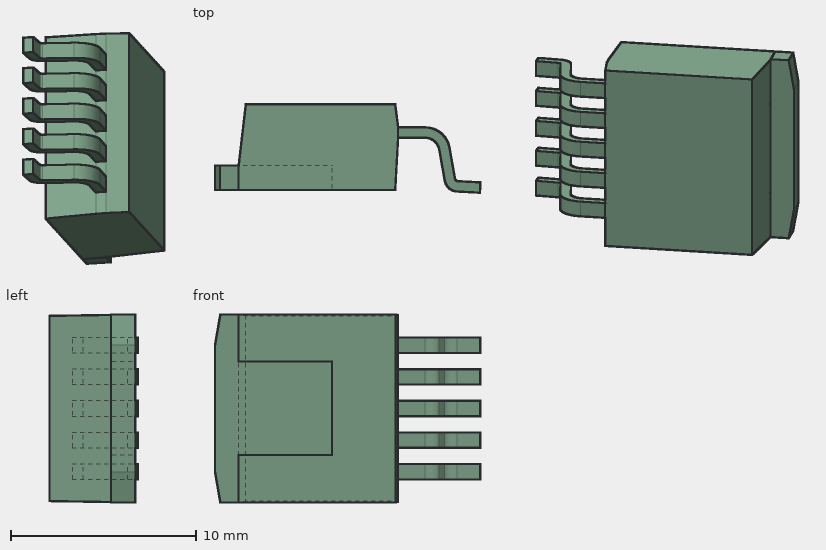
import cadquery as cq
import math

total_length = 14.35
package_width = 10.16

tab_thickness = 1.33
tab_length = 1.28
tab_corner_length = 0.29
tab_front_width = 6.86
tongue_end_x = 6.31
tongue_width = 5.05

housing_height = 4.65
housing_top_start_x = 1.66
housing_base_end_x = 9.75
housing_end_x = 9.9
housing_top_width = 10.02

lead_count = 5
lead_pitch = 1.71
lead_width = 0.85
lead_thickness = 0.57
lead_top_y = 3.4
lead_tip_y = -0.15
leg_angle = math.radians(80)
foot_angle = math.radians(3)
foot_length = 1.23
shoulder_radius = 1.06
ankle_radius = 0.45
lead_underside_y = lead_top_y - lead_thickness


def make_tab():
    """Flat plate with tapered front corners and a narrower tongue behind."""
    half_width = package_width / 2
    half_front = tab_front_width / 2
    half_tongue = tongue_width / 2
    outline = [
        (0, -half_front),
        (tab_corner_length, -half_width),
        (tab_length, -half_width),
        (tab_length, -half_tongue),
        (tongue_end_x, -half_tongue),
        (tongue_end_x, half_tongue),
        (tab_length, half_tongue),
        (tab_length, half_width),
        (tab_corner_length, half_width),
        (0, half_front),
    ]
    return cq.Workplane("XZ").polyline(outline).close().extrude(-tab_thickness)


def make_housing(tab):
    """Drafted block with a recess in its base that fits the tab's tongue."""
    side_profile = [
        (tab_length, 0),
        (housing_base_end_x, 0),
        (housing_end_x, lead_underside_y),
        (housing_end_x, lead_top_y),
        (housing_base_end_x, housing_height),
        (housing_top_start_x, housing_height),
        (tab_length, tab_thickness),
    ]
    end_profile = [
        (0, -package_width / 2),
        (housing_height, -housing_top_width / 2),
        (housing_height, housing_top_width / 2),
        (0, package_width / 2),
    ]
    block = (
        cq.Workplane("XY").polyline(side_profile).close()
        .extrude(package_width / 2, both=True)
    )
    drafted_sides = cq.Workplane("YZ").polyline(end_profile).close().extrude(total_length)
    return block.intersect(drafted_sides).cut(tab)


def bend_point(center, radius, angle):
    """Point on a bend, with the angle measured from +X."""
    return (center[0] + radius * math.cos(angle), center[1] + radius * math.sin(angle))


def make_lead(z):
    """Gull-wing lead of constant section swept along its centreline."""
    half_thickness = lead_thickness / 2
    tip = (
        total_length - half_thickness * math.sin(foot_angle),
        lead_tip_y + half_thickness * math.cos(foot_angle),
    )
    foot_start = (
        tip[0] - foot_length * math.cos(foot_angle),
        tip[1] + foot_length * math.sin(foot_angle),
    )

    ankle_center = (
        foot_start[0] + ankle_radius * math.sin(foot_angle),
        foot_start[1] + ankle_radius * math.cos(foot_angle),
    )
    ankle_start_angle = math.pi * 3 / 2 - leg_angle
    ankle_end_angle = math.pi * 3 / 2 - foot_angle
    leg_end = bend_point(ankle_center, ankle_radius, ankle_start_angle)
    ankle_middle = bend_point(ankle_center, ankle_radius, (ankle_start_angle + ankle_end_angle) / 2)

    shank_y = lead_top_y - half_thickness
    leg_start_angle = math.pi / 2 - leg_angle
    leg_start_y = shank_y - shoulder_radius * (1 - math.cos(leg_angle))
    leg_start_x = leg_end[0] - (leg_start_y - leg_end[1]) / math.tan(leg_angle)
    shoulder_center = (
        leg_start_x - shoulder_radius * math.sin(leg_angle),
        shank_y - shoulder_radius,
    )
    shoulder_middle = bend_point(shoulder_center, shoulder_radius, (math.pi / 2 + leg_start_angle) / 2)

    centreline = (
        cq.Workplane("XY", origin=(0, 0, z))
        .moveTo(housing_end_x, shank_y)
        .lineTo(shoulder_center[0], shank_y)
        .threePointArc(shoulder_middle, (leg_start_x, leg_start_y))
        .lineTo(*leg_end)
        .threePointArc(ankle_middle, foot_start)
        .lineTo(*tip)
    )
    return (
        cq.Workplane("YZ", origin=(housing_end_x, shank_y, z))
        .rect(lead_thickness, lead_width)
        .sweep(centreline)
    )


tab = make_tab()
housing = make_housing(tab)
leads = []
for index in range(lead_count):
    lead_z = (index - (lead_count - 1) / 2) * lead_pitch
    leads.append(make_lead(lead_z))

result = cq.Compound.makeCompound([tab.val(), housing.val(), *[lead.val() for lead in leads]])